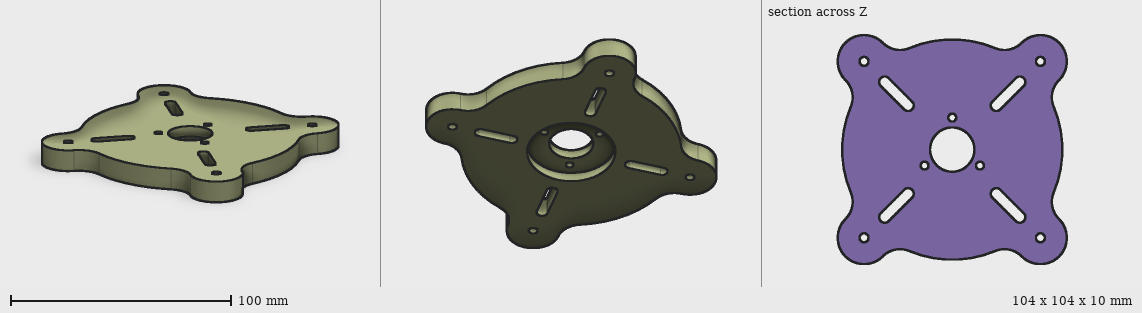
import cadquery as cq
import math

thickness = 10.0
disc_radius = 50.0
ear_offset = 40.0
ear_radius = 12.0
blend_radius = 11.0

bore_diameter = 20.0
recess_diameter = 40.0
recess_depth = 5.0
ear_hole_diameter = 4.0
pilot_hole_diameter = 3.5
pilot_circle_radius = 14.5
pilot_count = 3
pilot_start_angle = 90.0

slot_width = 5.0
slot_inner_radius = 28.3
slot_outer_radius = 43.3
diagonal_angles = [45.0, 135.0, 225.0, 315.0]


def polar(radius, angle):
    """Point at the given radius and angle in degrees."""
    radians = math.radians(angle)
    return radius * math.cos(radians), radius * math.sin(radians)


ear_distance = ear_offset * math.sqrt(2)
ear_centres = [polar(ear_distance, angle) for angle in diagonal_angles]


def make_plate():
    """Round disc with four ears, blended by fillets where they meet."""
    disc = cq.Workplane("XY").circle(disc_radius).extrude(thickness)
    ears = cq.Workplane("XY").pushPoints(ear_centres).circle(ear_radius).extrude(thickness)
    plate = disc.union(ears)

    corner_cosine = (ear_distance**2 + disc_radius**2 - ear_radius**2) / (2 * ear_distance * disc_radius)
    corner_angle = math.degrees(math.acos(corner_cosine))
    corners = cq.Workplane("XY")
    for angle in diagonal_angles:
        for side in (-1, 1):
            x, y = polar(disc_radius, angle + side * corner_angle)
            nearest = cq.selectors.NearestToPointSelector((x, y, thickness / 2))
            corners = corners.add(plate.edges("|Z").edges(nearest).val())
    return cq.Workplane(plate.val().fillet(blend_radius, corners.vals()))


def through_holes(centres, diameter):
    """Cutters for equal round holes through the full thickness."""
    return cq.Workplane("XY").pushPoints(centres).circle(diameter / 2).extrude(thickness)


def underside_recess():
    """Round recess sunk into the bottom face, centred on the bore."""
    return cq.Workplane("XY").circle(recess_diameter / 2).extrude(recess_depth)


def radial_slot(angle):
    """Through slot with round ends, lying along the radius at the given angle."""
    length = slot_outer_radius - slot_inner_radius + slot_width
    middle = polar((slot_inner_radius + slot_outer_radius) / 2, angle)
    return cq.Workplane("XY").center(*middle).slot2D(length, slot_width, angle).extrude(thickness)


pilot_centres = [
    polar(pilot_circle_radius, pilot_start_angle + index * 360.0 / pilot_count)
    for index in range(pilot_count)
]

result = make_plate()
result = result.cut(through_holes([(0, 0)], bore_diameter))
result = result.cut(underside_recess())
result = result.cut(through_holes(ear_centres, ear_hole_diameter))
result = result.cut(through_holes(pilot_centres, pilot_hole_diameter))
for slot_angle in diagonal_angles:
    result = result.cut(radial_slot(slot_angle))